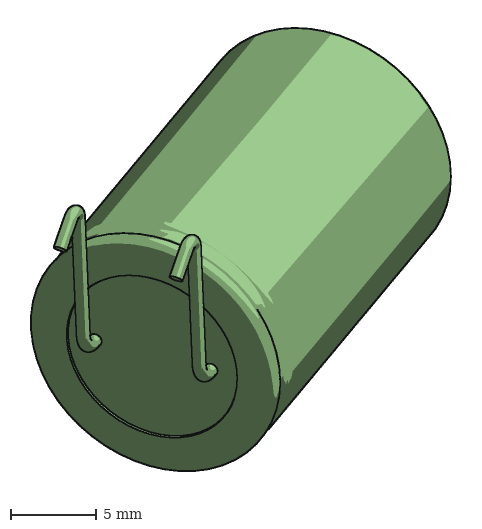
import cadquery as cq
import math

OVERALL_LENGTH = 30.0
CAN_LENGTH = 24.98
CAN_RADIUS = 16.05 / 2
BEND_RADIUS = 0.5

GROOVE_DEPTH = 0.27
GROOVE_END = 2.37

RECESS_RADIUS = 5.52
RECESS_DEPTH = 0.2

LEAD_DIAMETER = 0.8
LEAD_SPACING = 7.5
ROOT_BEND_RADIUS = 1.5
TIP_BEND_RADIUS = 0.65
LEG_LENGTH = 8.82
LEG_ANGLE = 85.4
TAIL_ANGLE = -40.0


def make_can():
    """Revolve the can outline, drawn as (radius, distance from the sealed face)."""
    floor_radius = CAN_RADIUS - GROOVE_DEPTH
    roll_center = CAN_RADIUS - BEND_RADIUS
    wall_angle = math.acos(1 - GROOVE_DEPTH / (2 * BEND_RADIUS))
    half_wall = BEND_RADIUS * math.sin(wall_angle)
    mid_radius = CAN_RADIUS - GROOVE_DEPTH / 2

    outline = (
        cq.Workplane("XY")
        .moveTo(0, 0)
        .lineTo(roll_center, 0)
        .threePointArc((CAN_RADIUS, BEND_RADIUS), (mid_radius, BEND_RADIUS + half_wall))
        .tangentArcPoint((floor_radius, BEND_RADIUS + 2 * half_wall), relative=False)
        .lineTo(floor_radius, GROOVE_END - 2 * half_wall)
        .tangentArcPoint((mid_radius, GROOVE_END - half_wall), relative=False)
        .tangentArcPoint((CAN_RADIUS, GROOVE_END), relative=False)
        .lineTo(CAN_RADIUS, CAN_LENGTH - BEND_RADIUS)
        .tangentArcPoint((roll_center, CAN_LENGTH), relative=False)
        .lineTo(0, CAN_LENGTH)
        .close()
    )
    can = outline.revolve(360, (0, 0, 0), (0, 1, 0))
    recess = cq.Workplane("XZ").circle(RECESS_RADIUS).extrude(-RECESS_DEPTH)
    return can.cut(recess)


def bend_end(start, radius, start_angle, end_angle):
    """End of a bend, in (reach, height), turning between two headings in radians."""
    turn = abs(end_angle - start_angle) / 2
    heading = (start_angle + end_angle) / 2
    return step(start, 2 * radius * math.sin(turn), heading)


def step(start, length, heading):
    """Point reached by a straight move along a heading in radians."""
    return (start[0] + length * math.cos(heading), start[1] + length * math.sin(heading))


def make_lead(x):
    """Sweep one wire: out of the face, up the leaning leg, then over into the tail."""
    leg = math.radians(LEG_ANGLE)
    tail = math.radians(TAIL_ANGLE)
    root = (0, 0)
    leg_start = bend_end(root, ROOT_BEND_RADIUS, 0, leg)
    leg_end = step(leg_start, LEG_LENGTH, leg)
    tail_start = bend_end(leg_end, TIP_BEND_RADIUS, leg, tail)
    tip_overhang = LEAD_DIAMETER / 2 * abs(math.sin(tail))
    tail_reach = OVERALL_LENGTH - CAN_LENGTH - tip_overhang - tail_start[0]
    tail_end = step(tail_start, tail_reach / math.cos(tail), tail)

    side = cq.Plane(origin=(x, 0, 0), xDir=(0, -1, 0), normal=(-1, 0, 0))
    path = (
        cq.Workplane(side)
        .moveTo(-2 * RECESS_DEPTH, 0)
        .lineTo(*root)
        .tangentArcPoint(leg_start, relative=False)
        .lineTo(*leg_end)
        .tangentArcPoint(tail_start, relative=False)
        .lineTo(*tail_end)
    )
    section = cq.Workplane("XZ", origin=(x, 2 * RECESS_DEPTH, 0)).circle(LEAD_DIAMETER / 2)
    return section.sweep(path)


result = make_can()
for side_sign in (-1, 1):
    result = result.union(make_lead(side_sign * LEAD_SPACING / 2))